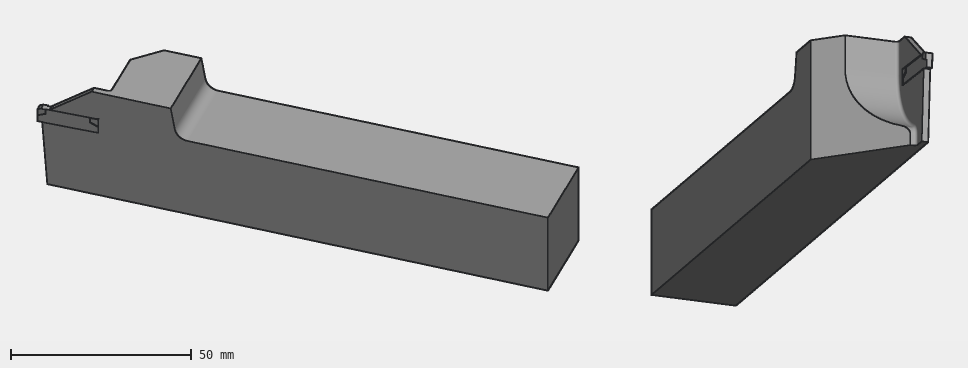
import cadquery as cq
import math

insert_overhang = 0.2
length = 150.0
shank_width = 25.0
shank_height = 25.0
head_height = 35.0
head_back_x = 39.2
head_back_angle = 10.0
head_back_radius = 3.8

blade_thickness = 2.0
blade_bottom_x = 2.8
blade_nose_x = 1.4
ramp_bottom = (3.6, 25.6)
ramp_top_x = 15.9

relief_wall_x = 20.8
relief_radius = 21.0
relief_foot_x = 6.9
relief_foot_radius = 3.3
relief_root_radius = 0.9
bevel_offset = 3.2

insert_length = 17.8
insert_front_bottom_z = 20.8
insert_height = 4.6
insert_body_thickness = 1.6
insert_rise = 0.5
corner_length = 2.4
corner_side_height = 1.5
corner_depth = 2.5
edge_land_length = 1.0
edge_land_drop = 0.5

cut_margin = 1.5


def extrude_y(sketch, start, end):
    """Extrude an XZ outline from y = start to y = end."""
    return sketch.extrude(start - end).translate((0, start, 0))


def insert_bottom_z(x):
    return insert_front_bottom_z + insert_rise * x / insert_length


def insert_top_z(x):
    return insert_bottom_z(x) + insert_height


def make_blank():
    """Full-width side outline of the holder."""
    head_back_foot_x = head_back_x + (head_height - shank_height) * math.tan(math.radians(head_back_angle))
    outline = (
        cq.Workplane("XZ")
        .moveTo(blade_bottom_x, 0)
        .lineTo(length, 0)
        .lineTo(length, shank_height)
        .lineTo(head_back_foot_x, shank_height)
        .lineTo(head_back_x, head_height)
        .lineTo(ramp_top_x, head_height)
        .lineTo(*ramp_bottom)
        .lineTo(blade_nose_x, insert_front_bottom_z)
        .close()
    )
    blank = extrude_y(outline, 0, shank_width)
    foot = cq.selectors.NearestToPointSelector((head_back_foot_x, shank_width / 2, shank_height))
    return blank.edges(foot).fillet(head_back_radius)


def make_relief():
    """Space beside the blade: straight wall, concave sweep and rounded foot."""
    center_x = relief_wall_x - relief_radius
    foot_z = shank_height - math.sqrt(relief_radius**2 - (relief_foot_x - center_x) ** 2)
    middle_angle = math.acos((relief_foot_x - center_x) / relief_radius) / 2
    arc_middle = (
        center_x + relief_radius * math.cos(middle_angle),
        shank_height - relief_radius * math.sin(middle_angle),
    )
    outline = (
        cq.Workplane("XZ")
        .moveTo(-cut_margin, -cut_margin)
        .lineTo(relief_foot_x, -cut_margin)
        .lineTo(relief_foot_x, foot_z)
        .threePointArc(arc_middle, (relief_wall_x, shank_height))
        .lineTo(relief_wall_x, head_height + cut_margin)
        .lineTo(-cut_margin, head_height + cut_margin)
        .close()
    )
    relief = extrude_y(outline, blade_thickness, shank_width + cut_margin)
    middle_y = (blade_thickness + shank_width) / 2
    foot = cq.selectors.NearestToPointSelector((relief_foot_x, middle_y, foot_z))
    relief = relief.edges(foot).fillet(relief_foot_radius)
    root_edges = cq.selectors.BoxSelector(
        (0, 0, -cut_margin),
        (relief_wall_x + cut_margin, shank_width, head_height),
    )
    return relief.faces("<Y").edges(root_edges).fillet(relief_root_radius)


def make_bevel():
    """Wedge beyond the 45 degree plane at the front of the head."""
    reach = shank_width + cut_margin
    return (
        cq.Workplane("XY")
        .workplane(offset=-cut_margin)
        .moveTo(blade_thickness + bevel_offset, blade_thickness)
        .lineTo(reach + bevel_offset, reach)
        .lineTo(-cut_margin, reach)
        .lineTo(-cut_margin, blade_thickness)
        .close()
        .extrude(head_height + 2 * cut_margin)
    )


def make_insert_bar(thickness):
    """Bar with a lowered land at the front cutting edge."""
    outline = (
        cq.Workplane("XZ")
        .moveTo(0, insert_bottom_z(0))
        .lineTo(insert_length, insert_bottom_z(insert_length))
        .lineTo(insert_length, insert_top_z(insert_length))
        .lineTo(edge_land_length, insert_top_z(edge_land_length))
        .lineTo(0, insert_top_z(0) - edge_land_drop)
        .close()
    )
    return extrude_y(outline, 0, thickness)


def make_insert_corner(end_x, inward, land_drop):
    """Cutting corner, wider than the bar on both sides; inward is +1 or -1 along X."""
    inner_x = end_x + inward * corner_length
    land_x = end_x + inward * edge_land_length
    outline = (
        cq.Workplane("XZ")
        .moveTo(end_x, insert_top_z(end_x) - land_drop)
        .lineTo(land_x, insert_top_z(land_x))
        .lineTo(inner_x, insert_top_z(inner_x))
        .lineTo(inner_x, insert_top_z(inner_x) - corner_side_height)
        .lineTo(end_x, insert_top_z(end_x) - corner_depth)
        .close()
    )
    return extrude_y(outline, -insert_overhang, blade_thickness)


insert_pocket = make_insert_bar(blade_thickness)
holder = make_blank().cut(make_relief()).cut(make_bevel()).cut(insert_pocket)
front_corner = make_insert_corner(0, 1, edge_land_drop)
rear_corner = make_insert_corner(insert_length, -1, 0)
cutting_insert = make_insert_bar(insert_body_thickness).union(front_corner).union(rear_corner)

result = cq.Compound.makeCompound([holder.val(), cutting_insert.val()])